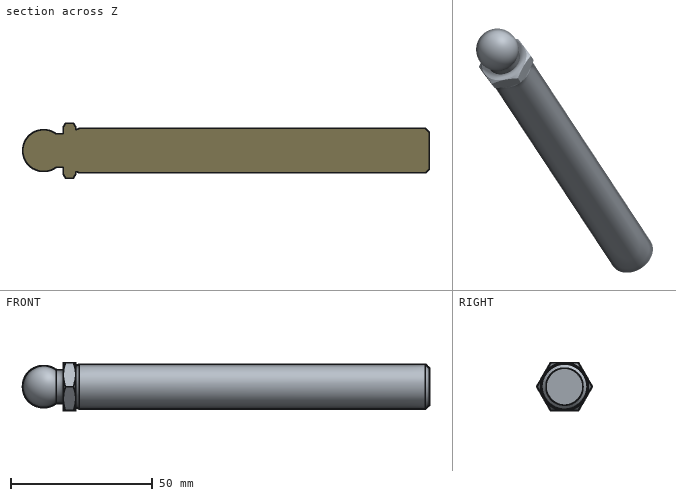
import cadquery as cq
import math

total_length = 144.0

ball_diameter = 15.0
neck_diameter = 12.0

hex_start = 14.4
hex_thickness = 4.5
hex_across_flats = 17.0
hex_face_diameter = 16.8
hex_chamfer_angle = 30.0

shank_diameter = 16.0
shank_end_chamfer = 1.5
lead_in_length = 1.3
lead_in_depth = 0.6

hex_end = hex_start + hex_thickness
hex_across_corners = hex_across_flats / math.cos(math.radians(30))


def revolve_about_x(profile):
    """Turn a closed half-profile in the XY plane about the X axis."""
    return profile.close().revolve(360, (0, 0, 0), (1, 0, 0))


def make_turned_body():
    """Ball, neck and shank as one turned piece, with a cone behind the collar."""
    ball_radius = ball_diameter / 2
    neck_radius = neck_diameter / 2
    shank_radius = shank_diameter / 2
    ball_end = ball_radius + math.sqrt(ball_radius**2 - neck_radius**2)
    profile = (
        cq.Workplane("XY")
        .moveTo(0, 0)
        .threePointArc((ball_radius, ball_radius), (ball_end, neck_radius))
        .lineTo(hex_start + hex_thickness / 2, neck_radius)
        .lineTo(hex_start + hex_thickness / 2, shank_radius - lead_in_depth)
        .lineTo(hex_end, shank_radius - lead_in_depth)
        .lineTo(hex_end + lead_in_length, shank_radius)
        .lineTo(total_length - shank_end_chamfer, shank_radius)
        .lineTo(total_length, shank_radius - shank_end_chamfer)
        .lineTo(total_length, 0)
    )
    return revolve_about_x(profile)


def make_hex_collar():
    """Hexagon with its corners on Y, chamfered conically at both faces."""
    blank = (
        cq.Workplane("YZ", origin=(hex_start, 0, 0))
        .polygon(6, hex_across_corners)
        .extrude(hex_thickness)
    )
    face_radius = hex_face_diameter / 2
    cone_rise = hex_thickness / 2 / math.tan(math.radians(hex_chamfer_angle))
    envelope = revolve_about_x(
        cq.Workplane("XY")
        .moveTo(hex_start, 0)
        .lineTo(hex_start, face_radius)
        .lineTo(hex_start + hex_thickness / 2, face_radius + cone_rise)
        .lineTo(hex_end, face_radius)
        .lineTo(hex_end, 0)
    )
    return blank.intersect(envelope)


result = make_turned_body().union(make_hex_collar())